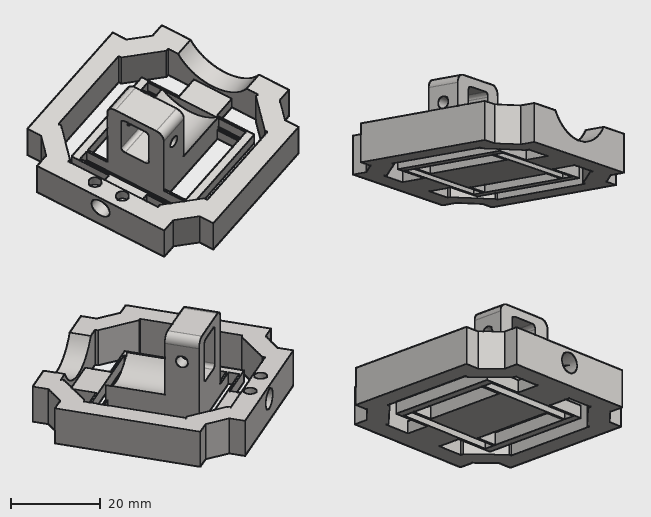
import cadquery as cq

ring_half = 24.9
ring_height = 8.95
ring_flat_half = 17.05
notch_depth = 3.7
opening_half = 19.9
opening_flat_half = 12.0
opening_step = 0.7

flexure_height = 3.0
flexure_half_x = 15.1
flexure_half_y = 14.0
flexure_inner_half_x = 13.1
leaf_thickness = 0.5
tab_width = 10.15

block_width = 15.15
block_half_y = 10.95
block_height = 22.0
upright_depth = 8.0
upright_corner_radius = 2.1
upright_hole_diameter = 2.8
upright_hole_z = 15.85

cradle_x = -0.15
cradle_z = 14.6
cradle_radius = 10.75
window_width = 7.4
window_height = 10.55
window_corner_radius = 1.0

front_bore_diameter = 4.9
front_bore_z = 5.6
top_hole_diameter = 2.9
top_hole_spacing = 7.3
top_hole_y = -21.65
top_hole_depth = 2.5

upright_front_y = -block_half_y
upright_back_y = upright_front_y + upright_depth
upright_mid_y = (upright_front_y + upright_back_y) / 2
wall_thickness = ring_half - opening_half


def octagonal_prism(half, flat_half, step, height):
    """Square prism whose corners are cut by a diagonal with a short step at each end."""
    shoulder = half - step
    quarter = [(half, flat_half), (shoulder, flat_half), (flat_half, shoulder), (flat_half, half)]
    points = []
    for _ in range(4):
        points += quarter
        quarter = [(-y, x) for x, y in quarter]
    return cq.Workplane("XY").polyline(points).close().extrude(height)


def box_from_floor(width, depth, height):
    return cq.Workplane("XY").box(width, depth, height, centered=(True, True, False))


def cylinder_along_y(x, z, radius, y_start, y_end):
    plane = cq.Workplane("XZ", origin=(x, y_start, z))
    return plane.circle(radius).extrude(y_start - y_end)


def make_ring():
    outer = octagonal_prism(ring_half, ring_flat_half, notch_depth, ring_height)
    opening = octagonal_prism(opening_half, opening_flat_half, opening_step, ring_height)
    return outer.cut(opening)


def make_flexure():
    frame = box_from_floor(2 * flexure_half_x, 2 * flexure_half_y, flexure_height)
    window = box_from_floor(2 * flexure_inner_half_x, 2 * (flexure_half_y - leaf_thickness), flexure_height)
    frame = frame.cut(window)
    for side in (-1, 1):
        leaf_y = side * (block_half_y - leaf_thickness / 2)
        leaf = box_from_floor(2 * flexure_inner_half_x, leaf_thickness, flexure_height)
        frame = frame.union(leaf.translate((0, leaf_y, 0)))
        tab_length = opening_half - flexure_half_y
        tab = box_from_floor(tab_width, tab_length, flexure_height)
        frame = frame.union(tab.translate((0, side * (flexure_half_y + tab_length / 2), 0)))
    return frame


def make_block():
    block = box_from_floor(block_width, 2 * block_half_y, block_height)
    block = block.edges("|Y and >Z").fillet(upright_corner_radius)

    base_depth = block_half_y - upright_back_y
    above_axis = box_from_floor(block_width, base_depth, block_height)
    above_axis = above_axis.translate((0, upright_back_y + base_depth / 2, cradle_z))
    block = block.cut(above_axis)
    block = block.cut(cylinder_along_y(cradle_x, cradle_z, cradle_radius, upright_back_y, block_half_y))

    window = cq.Workplane("XY").box(window_width, upright_depth, window_height)
    window = window.edges("|Y").fillet(window_corner_radius)
    block = block.cut(window.translate((cradle_x, upright_mid_y, cradle_z)))

    cross_hole = cq.Workplane("YZ", origin=(0, upright_mid_y, upright_hole_z))
    return block.cut(cross_hole.circle(upright_hole_diameter / 2).extrude(block_width / 2, both=True))


def cut_ring_features(ring):
    ring = ring.cut(cylinder_along_y(cradle_x, cradle_z, cradle_radius, opening_half, ring_half))
    front_bore = cylinder_along_y(
        0, front_bore_z, front_bore_diameter / 2, -ring_half, -ring_half + wall_thickness
    )
    ring = ring.cut(front_bore)
    top_holes = (
        cq.Workplane("XY", origin=(0, top_hole_y, ring_height))
        .pushPoints([(-top_hole_spacing / 2, 0), (top_hole_spacing / 2, 0)])
        .circle(top_hole_diameter / 2)
        .extrude(-top_hole_depth)
    )
    return ring.cut(top_holes)


result = cut_ring_features(make_ring()).union(make_flexure()).union(make_block())